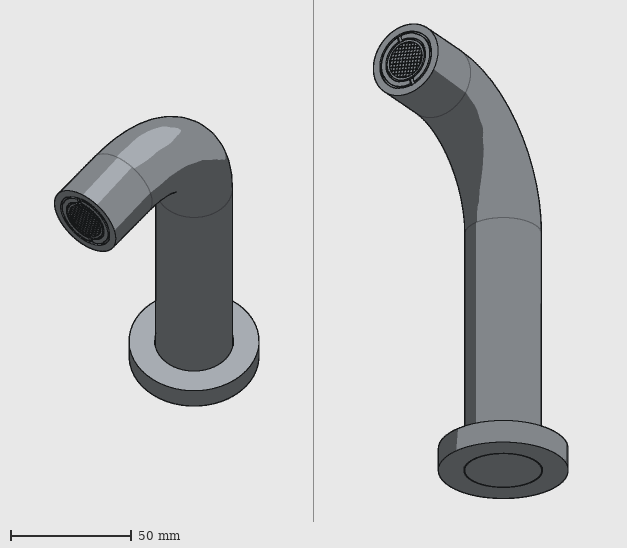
import cadquery as cq
import math

overall_height = 174.9
pipe_diameter = 32.0
bend_radius = 50.0
nozzle_length = 25.0
outlet_axis_height = overall_height - pipe_diameter / 2
outlet_face_y = -(bend_radius + nozzle_length)

socket_radius = 12.8
socket_depth = 10.5

flange_diameter = 54.0
flange_thickness = 10.0
flange_bore_clearance = 0.3

collar_radius = 11.9
groove_depth = 0.9
housing_mouth_radius = 9.8

key_slot_count = 2
key_slot_width = 1.7
key_slot_depth = 1.0
key_slot_angle = 106.0

ring_outer_radius = 9.1
ring_inner_radius = 8.0

mesh_pitch = 1.5
mesh_groove_width = 0.2
mesh_groove_depth = 0.9
mesh_angle = -10.8


def outlet_plane(depth=0.0, angle=0.0):
    """Plane across the nozzle axis, `depth` inside the outlet face, facing out of the spout."""
    plane = cq.Plane(
        origin=(0, outlet_face_y + depth, outlet_axis_height),
        xDir=(1, 0, 0),
        normal=(0, -1, 0),
    )
    return cq.Workplane(plane.rotated((0, 0, angle)))


def outlet_disc(radius, near_depth, far_depth):
    """Disc on the nozzle axis between two depths inside the outlet face."""
    return outlet_plane(near_depth).circle(radius).extrude(near_depth - far_depth)


def make_pipe():
    """Solid round pipe swept along its centreline, with the aerator socket in its end."""
    centreline = (
        cq.Workplane("YZ")
        .lineTo(0, outlet_axis_height - bend_radius)
        .radiusArc((-bend_radius, outlet_axis_height), -bend_radius)
        .lineTo(outlet_face_y, outlet_axis_height)
    )
    pipe = cq.Workplane("XY").circle(pipe_diameter / 2).sweep(centreline)
    return pipe.cut(outlet_disc(socket_radius, 0, socket_depth))


def make_flange():
    """Flat round flange with a clearance bore around the foot of the pipe."""
    bore_radius = pipe_diameter / 2 + flange_bore_clearance
    outline = cq.Workplane("XY").circle(flange_diameter / 2).circle(bore_radius)
    return outline.extrude(flange_thickness)


def make_housing():
    """Aerator housing with stepped outside, stepped bore and key slots."""
    collar = outlet_disc(collar_radius, 0, groove_depth)
    body = outlet_disc(socket_radius, groove_depth, socket_depth)
    mouth = outlet_disc(housing_mouth_radius, 0, groove_depth)
    bore = outlet_disc(ring_outer_radius, 0, socket_depth)
    housing = collar.union(body).cut(mouth).cut(bore)

    slot_middle_radius = (ring_outer_radius + socket_radius) / 2
    slot_length = socket_radius - ring_outer_radius
    for turn in range(key_slot_count):
        angle = key_slot_angle + turn * 360 / key_slot_count
        slot = (
            outlet_plane(angle=angle)
            .center(slot_middle_radius, 0)
            .rect(slot_length, key_slot_width)
            .extrude(-key_slot_depth)
        )
        housing = housing.cut(slot)
    return housing


def make_retaining_ring():
    """Plain ring that fits in the housing bore."""
    outline = outlet_plane().circle(ring_outer_radius).circle(ring_inner_radius)
    return outline.extrude(-socket_depth)


def make_mesh_disc():
    """Disc that fits in the retaining ring, with crossed grooves in its outlet face."""
    disc = outlet_disc(ring_inner_radius, 0, socket_depth)
    groove_length = 2 * ring_inner_radius + mesh_pitch
    grooves_per_side = math.floor(ring_inner_radius / mesh_pitch)
    for direction in (mesh_angle, mesh_angle + 90):
        grooves = (
            outlet_plane(angle=direction)
            .rarray(1.7, mesh_pitch, 1, 2 * grooves_per_side + 1)
            .rect(groove_length, mesh_groove_width)
            .extrude(-mesh_groove_depth)
        )
        disc = disc.cut(grooves)
    return disc


pipe = make_pipe()
flange = make_flange()
housing = make_housing()
retaining_ring = make_retaining_ring()
mesh_disc = make_mesh_disc()

result = cq.Compound.makeCompound(
    [pipe.val(), flange.val(), housing.val(), retaining_ring.val(), mesh_disc.val()]
)